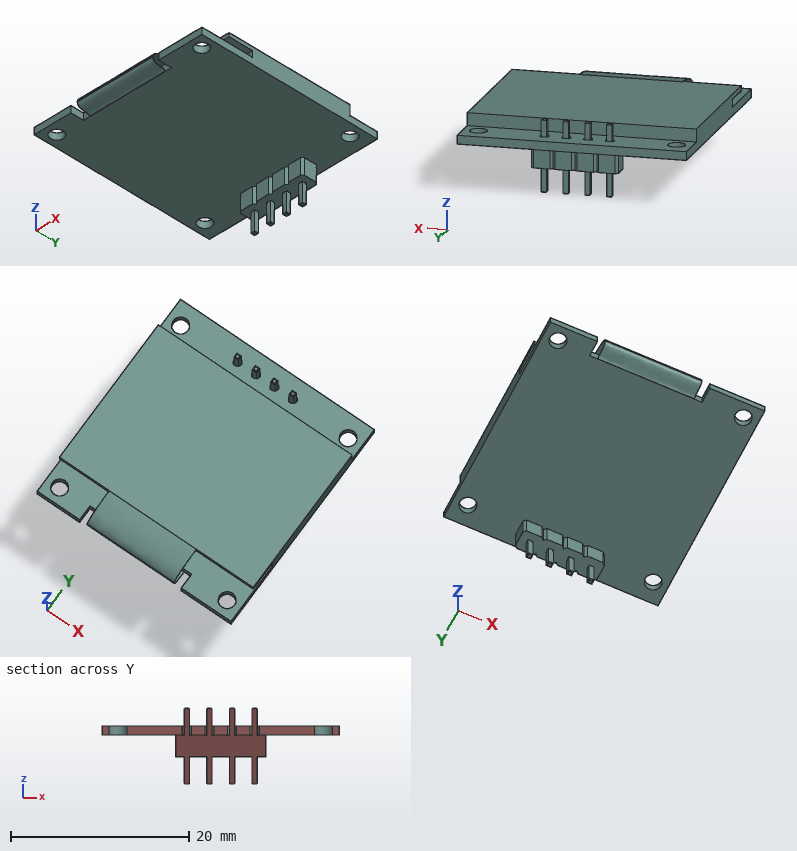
import cadquery as cq

BOARD_WIDTH = 26.7
BOARD_LENGTH = 27.85
BOARD_THICKNESS = 1.03
BOARD_FRONT = -BOARD_LENGTH / 2

MOUNT_HOLE_DIAMETER = 2.0
MOUNT_HOLE_INSET = 1.8
MOUNT_HOLE_REAR_INSET = 2.54

NOTCH_LEFT = -7.5
NOTCH_WIDTH = 13.99
NOTCH_DEPTH = 2.0
NOTCH_WALL = BOARD_FRONT + NOTCH_DEPTH

DISPLAY_HEIGHT = 1.5
GLASS_LENGTH = 19.22
GLASS_THICKNESS = 0.59
GLASS_FRONT = -GLASS_LENGTH / 2
BACKING_HEIGHT = DISPLAY_HEIGHT - GLASS_THICKNESS
BACKING_LENGTH = 15.5

RIBBON_LEFT = -6.5
RIBBON_WIDTH = 12.0
RIBBON_THICKNESS = 0.05
RIBBON_FLAT_PULL = 2.5
RIBBON_FLAT_SAG = 0.1
RIBBON_DROP_PULL = 0.84
RIBBON_TUCK_PULL = 1.11
RIBBON_END_LEAN = 0.33
RIBBON_END_PULL = 0.5

PIN_COUNT = 4
PIN_PITCH = 2.54
PIN_ROW_Y = 11.55
PIN_SIZE = 0.6
PIN_TIP_CHAMFER = 0.1
PIN_HOLE_DIAMETER = 1.0
BLOCK_HEIGHT = 2.45
BLOCK_CHAMFER = 0.3
PIN_TOP = 2.0
PIN_LENGTH = 8.55

PIN_XS = [(index - (PIN_COUNT - 1) / 2) * PIN_PITCH for index in range(PIN_COUNT)]


def make_board():
    board = cq.Workplane("XY").box(
        BOARD_WIDTH, BOARD_LENGTH, BOARD_THICKNESS, centered=(True, True, False)
    ).translate((0, 0, -BOARD_THICKNESS))

    mount_x = BOARD_WIDTH / 2 - MOUNT_HOLE_INSET
    front_y = BOARD_FRONT + MOUNT_HOLE_INSET
    rear_y = BOARD_LENGTH / 2 - MOUNT_HOLE_REAR_INSET
    mount_points = [(x, y) for x in (-mount_x, mount_x) for y in (front_y, rear_y)]
    pin_points = [(x, PIN_ROW_Y) for x in PIN_XS]
    mount_holes = cq.Workplane("XY").pushPoints(mount_points).circle(MOUNT_HOLE_DIAMETER / 2)
    pin_holes = cq.Workplane("XY").pushPoints(pin_points).circle(PIN_HOLE_DIAMETER / 2)
    notch = (
        cq.Workplane("XY")
        .box(NOTCH_WIDTH, NOTCH_DEPTH, BOARD_THICKNESS, centered=False)
        .translate((NOTCH_LEFT, BOARD_FRONT, -BOARD_THICKNESS))
    )
    return (
        board.cut(mount_holes.extrude(-BOARD_THICKNESS))
        .cut(pin_holes.extrude(-BOARD_THICKNESS))
        .cut(notch)
    )


def make_display():
    """Side profile of glass and backing, extruded over the full board width."""
    rear = GLASS_FRONT + GLASS_LENGTH
    backing_front = rear - BACKING_LENGTH
    return (
        cq.Workplane("YZ", origin=(-BOARD_WIDTH / 2, 0, 0))
        .moveTo(rear, 0)
        .lineTo(rear, DISPLAY_HEIGHT)
        .lineTo(GLASS_FRONT, DISPLAY_HEIGHT)
        .lineTo(GLASS_FRONT, BACKING_HEIGHT)
        .lineTo(backing_front, BACKING_HEIGHT)
        .lineTo(backing_front, 0)
        .close()
        .extrude(BOARD_WIDTH)
    )


def ribbon_curves(inset):
    """Bezier control points, glass to edge and edge to notch wall, inset from the outer skin."""
    top = DISPLAY_HEIGHT - inset
    edge = BOARD_FRONT + inset
    end = -BOARD_THICKNESS + inset
    bend = [
        (GLASS_FRONT, top),
        (GLASS_FRONT - RIBBON_FLAT_PULL, top - RIBBON_FLAT_SAG),
        (edge, RIBBON_DROP_PULL),
        (edge, 0),
    ]
    tuck = [
        (edge, 0),
        (edge, inset - RIBBON_TUCK_PULL),
        (NOTCH_WALL - RIBBON_END_LEAN, end + RIBBON_END_PULL),
        (NOTCH_WALL, end),
    ]
    return bend, tuck


def make_ribbon():
    outer_bend, outer_tuck = ribbon_curves(0)
    inner_bend, inner_tuck = ribbon_curves(RIBBON_THICKNESS)
    return (
        cq.Workplane("YZ", origin=(RIBBON_LEFT, 0, 0))
        .bezier(outer_bend)
        .bezier(outer_tuck)
        .lineTo(*inner_tuck[-1])
        .bezier(inner_tuck[::-1])
        .bezier(inner_bend[::-1])
        .close()
        .extrude(RIBBON_WIDTH)
    )


def make_display_module():
    return make_board().union(make_display()).union(make_ribbon())


def make_pin_header():
    points = [(x, PIN_ROW_Y) for x in PIN_XS]
    blocks = (
        cq.Workplane("XY", origin=(0, 0, -BOARD_THICKNESS))
        .pushPoints(points)
        .eachpoint(make_block(), combine=True)
    )
    pins = (
        cq.Workplane("XY", origin=(0, 0, PIN_TOP - PIN_LENGTH))
        .pushPoints(points)
        .eachpoint(make_pin(), combine=True)
    )
    return blocks.union(pins)


def make_block():
    """One header block hanging below the local origin, with chamfered upright edges."""
    return (
        cq.Workplane("XY")
        .rect(PIN_PITCH, PIN_PITCH)
        .extrude(-BLOCK_HEIGHT)
        .edges("|Z")
        .chamfer(BLOCK_CHAMFER)
        .val()
    )


def make_pin():
    """One square pin standing on the local origin, with chamfered tips."""
    return (
        cq.Workplane("XY")
        .rect(PIN_SIZE, PIN_SIZE)
        .extrude(PIN_LENGTH)
        .faces("<Z or >Z")
        .chamfer(PIN_TIP_CHAMFER)
        .val()
    )


display_module = make_display_module()
pin_header = make_pin_header()

result = cq.Compound.makeCompound([display_module.val(), pin_header.val()])